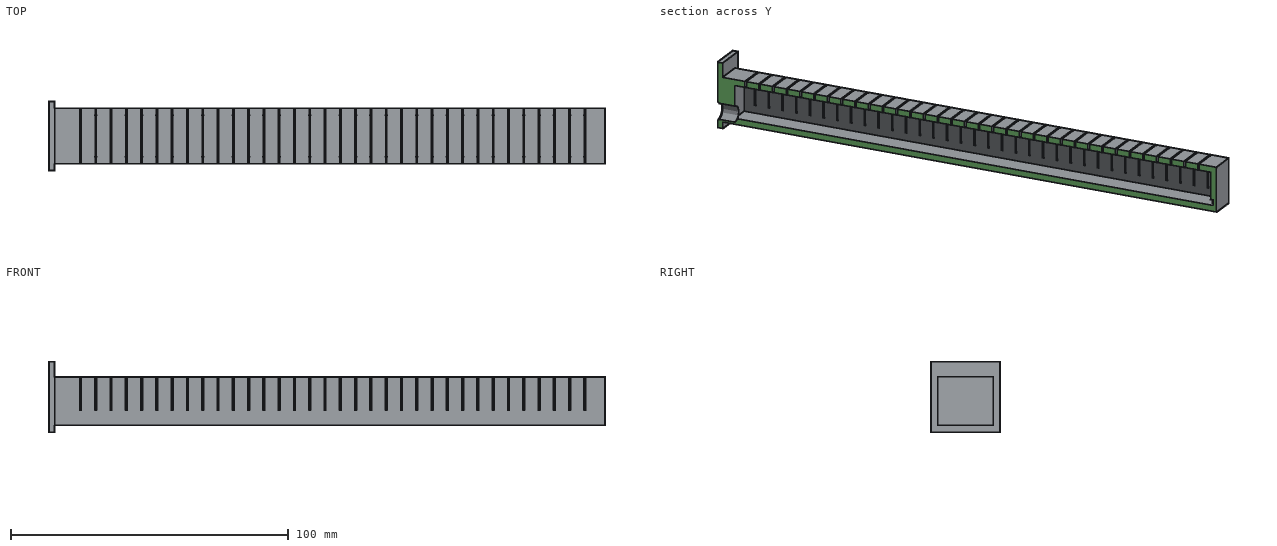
import cadquery as cq

plate_thickness = 2.1
plate_width = 25.0
plate_height = 25.5

bar_length = 198.0
bar_width = 20.0
bar_height = 17.5
bar_lift = 2.5
bar_bottom = -plate_height / 2 + bar_lift
bar_top = bar_bottom + bar_height
total_length = plate_thickness + bar_length

wall = 2.5
chamber_start = 7.0
chamber_end = total_length - wall
chamber_floor = bar_bottom + wall

recess_width = 3.0
recess_height = 2.0
recess_depth = 1.0

slot_count = 34
slot_pitch = 5.5
slot_width = 0.5
slot_depth = 12.0
first_slot_start = plate_thickness + 9.0

hole_radius = 3.0
hole_chamfer = 0.6
hole_height = bar_bottom + 4.0
hole_depth = chamber_start
drill_point_length = 1.8


def make_block(x_start, x_end, width, z_bottom, z_top):
    """Block centred on Y = 0 between the given X and Z limits."""
    block = cq.Workplane("XY").box(x_end - x_start, width, z_top - z_bottom, centered=(False, True, False))
    return block.translate((x_start, 0, z_bottom))


def make_plate():
    return make_block(0, plate_thickness, plate_width, -plate_height / 2, plate_height / 2)


def make_bar():
    return make_block(0, total_length, bar_width, bar_bottom, bar_top)


def make_chamber():
    return make_block(chamber_start, chamber_end, bar_width - 2 * wall, chamber_floor, bar_top - wall)


def make_recess():
    recess_end = chamber_end + recess_depth
    return make_block(chamber_end, recess_end, recess_width, chamber_floor, chamber_floor + recess_height)


def make_slots():
    slots = cq.Workplane("XY")
    for index in range(slot_count):
        slot_start = first_slot_start + index * slot_pitch
        slots = slots.add(
            make_block(slot_start, slot_start + slot_width, bar_width, bar_top - slot_depth, bar_top)
        )
    return slots.combine()


def make_inlet_hole():
    half_profile = (
        cq.Workplane("XY")
        .moveTo(0, 0)
        .lineTo(0, hole_radius + hole_chamfer)
        .lineTo(hole_chamfer, hole_radius)
        .lineTo(hole_depth, hole_radius)
        .lineTo(hole_depth + drill_point_length, 0)
        .close()
    )
    hole = half_profile.revolve(360, (0, 0, 0), (1, 0, 0))
    return hole.translate((0, 0, hole_height))


result = make_plate().union(make_bar())
result = result.cut(make_chamber()).cut(make_recess())
result = result.cut(make_slots()).cut(make_inlet_hole())